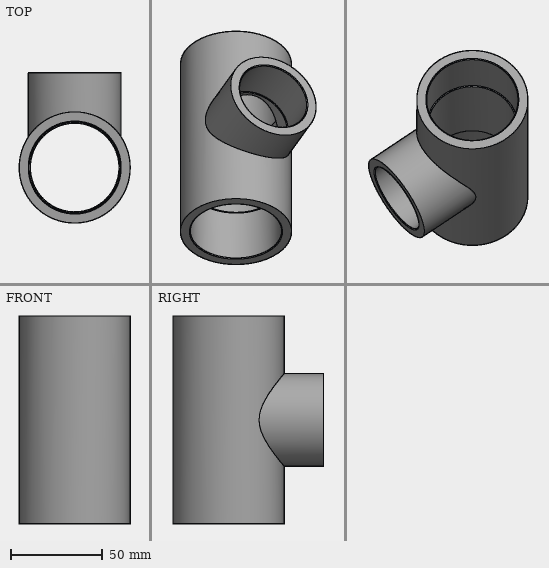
import cadquery as cq

run_length = 114.0
run_outer_diameter = 61.0
run_socket_diameter = 50.0
run_bore_diameter = 48.5
run_socket_depth = 31.0

branch_reach = 52.0
branch_outer_diameter = 51.0
branch_socket_diameter = 40.0
branch_bore_diameter = 38.5
branch_socket_depth = 26.0

socket_lead_in = 0.5


def cylinder(diameter, length):
    """Cylinder standing on the XY plane, along +Z."""
    return cq.Workplane("XY").circle(diameter / 2).extrude(length)


def socket(diameter, depth):
    """Socket cutter with its mouth at z = 0, going down, flared at the mouth."""
    radius = diameter / 2
    mouth_radius = radius + socket_lead_in
    profile = [
        (0, 0),
        (mouth_radius, 0),
        (radius, -socket_lead_in),
        (radius, -depth),
        (0, -depth),
    ]
    return cq.Workplane("XZ").polyline(profile).close().revolve(360, (0, 0), (0, 1))


def point_to_branch(shape):
    """Turn a shape built along +Z so that it lies along +Y."""
    return shape.rotate((0, 0, 0), (1, 0, 0), -90)


run_bottom = (0, 0, -run_length / 2)
run_wall = cylinder(run_outer_diameter, run_length).translate(run_bottom)
branch_wall = point_to_branch(cylinder(branch_outer_diameter, branch_reach))
body = run_wall.union(branch_wall)

run_bore = cylinder(run_bore_diameter, run_length).translate(run_bottom)
branch_bore = point_to_branch(cylinder(branch_bore_diameter, branch_reach))
body = body.cut(run_bore).cut(branch_bore)

top_socket = socket(run_socket_diameter, run_socket_depth).translate((0, 0, run_length / 2))
bottom_socket = top_socket.mirror("XY")
branch_socket = socket(branch_socket_diameter, branch_socket_depth).translate((0, 0, branch_reach))
body = body.cut(top_socket).cut(bottom_socket).cut(point_to_branch(branch_socket))

result = body